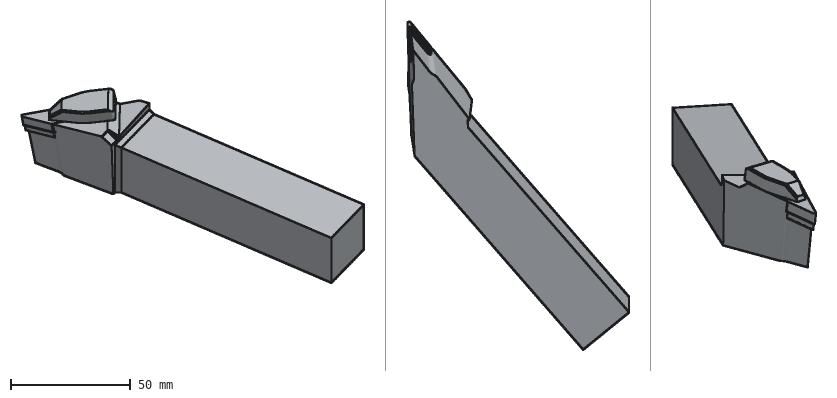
import cadquery as cq
import math

total_length = 150.0
shank_size = 25.0
tip_y = -6.5

insert_angle = 35.0
insert_circle = 9.5
insert_thickness = 4.8
nose_radius = 0.8
insert_heading = 20.7
insert_tilt = 9.2
half_angle = math.radians(insert_angle / 2)
insert_edge = insert_circle / math.sin(2 * half_angle)

shim_thickness = 3.0
shim_inset = 0.5

head_end_x = 43.5
head_depth = 60.0
relief_depth = 1.0
relief_crest_radius = 6.5 / 2
relief_root_radius = 5.0
relief_middle = 16.8

collar_end_x = 45.8
collar_flare = 1.5

slope_start = 38.2
slope_length = 4.4
shelf_depth = 3.6

corner_slope_x = 39.0
corner_slope_z = 31.0
corner_slope_drop = 3.0
corner_side_rise = 17.0
corner_side_length = 3.8

clamp_heading = 32.0
clamp_offset = -8.0
clamp_gap = 0.3
clamp_floor_z = 24.0
clamp_edge = 0.6
clamp_corner_radius = 1.0
clamp_nose = 8.2
clamp_nose_half_width = 2.2
clamp_knee = 23.0
clamp_half_width = 7.0
clamp_knee_radius = 15.0
clamp_tail = 36.6
clamp_nose_base_z = 27.3
clamp_nose_draft = 0.6
clamp_nose_z = 29.7
clamp_brow = 13.6
clamp_brow_z = 34.4
clamp_crest = 33.0
clamp_top_z = 37.6
clamp_shoulder = 35.2
clamp_shoulder_z = 36.5
clamp_tail_z = 29.5
post_diameter = 6.5
post_position = 29.2


def insert_plane():
    """Top plane of the insert: origin at its sharp corner, local x along its centre line."""
    heading = math.radians(insert_heading)
    tilt = math.radians(insert_tilt)
    x_dir = cq.Vector(math.cos(heading) * math.cos(tilt), math.sin(heading) * math.cos(tilt), math.sin(tilt))
    y_dir = cq.Vector(-math.sin(heading), math.cos(heading), 0)
    nose_centre = x_dir * (nose_radius / math.sin(half_angle))
    origin_x = nose_radius * math.hypot(x_dir.x, y_dir.x) - nose_centre.x
    origin_y = tip_y + nose_radius * math.hypot(x_dir.y, y_dir.y) - nose_centre.y
    return cq.Plane(origin=(origin_x, origin_y, shank_size), xDir=x_dir, normal=x_dir.cross(y_dir))


deck = insert_plane()


def wall_point(distance, inset, side):
    """Point at a distance along a wedge side (+1 or -1), moved inward by inset."""
    along = distance * math.cos(half_angle) + inset * math.sin(half_angle)
    across = distance * math.sin(half_angle) - inset * math.cos(half_angle)
    return (along, side * across)


def make_rhombus(inset, thickness, depth):
    """Plate shaped like the insert, with a rounded nose; its top lies at the given depth below the deck."""
    centre = insert_edge * math.cos(half_angle)
    half_length = centre - inset / math.sin(half_angle)
    half_width = half_length * math.tan(half_angle)
    plate = (
        cq.Workplane(deck)
        .workplane(offset=-depth)
        .center(centre, 0)
        .polyline([(-half_length, 0), (0, -half_width), (half_length, 0), (0, half_width)])
        .close()
        .extrude(-thickness)
    )
    upright = cq.selectors.ParallelDirSelector(deck.zDir)
    nose = cq.selectors.DirectionMinMaxSelector(deck.xDir, directionMax=False)
    return plate.edges(upright).edges(nose).fillet(nose_radius - inset)


def side_relief(side):
    """Wall points from the main wall toward the nose: a convex and a concave arc forming an S."""
    turn = math.acos(1 - relief_depth / (relief_crest_radius + relief_root_radius))
    crest_start = relief_middle + relief_crest_radius * math.sin(turn)
    root_end = relief_middle - relief_root_radius * math.sin(turn)
    half_run = math.sin(turn / 2)
    half_rise = 1 - math.cos(turn / 2)
    crest_middle = crest_start - relief_crest_radius * half_run
    root_middle = root_end + relief_root_radius * half_run
    return [
        wall_point(crest_start, 0, side),
        wall_point(crest_middle, relief_crest_radius * half_rise, side),
        wall_point(relief_middle, relief_crest_radius * (1 - math.cos(turn)), side),
        wall_point(root_middle, relief_depth - relief_root_radius * half_rise, side),
        wall_point(root_end, relief_depth, side),
    ]


def make_head():
    """Wedge head square to the deck, cut to the shank's bottom, back and end planes."""
    lower = side_relief(-1)
    upper = side_relief(1)
    nose = (relief_depth / math.sin(half_angle), 0)
    wedge = (
        cq.Workplane(deck)
        .moveTo(*wall_point(2 * head_end_x, 0, -1))
        .lineTo(*lower[0])
        .threePointArc(lower[1], lower[2])
        .threePointArc(lower[3], lower[4])
        .lineTo(*nose)
        .lineTo(*upper[4])
        .threePointArc(upper[3], upper[2])
        .threePointArc(upper[1], upper[0])
        .lineTo(*wall_point(2 * head_end_x, 0, 1))
        .close()
        .extrude(-head_depth)
    )
    limits = cq.Workplane().box(head_end_x, 2 * shank_size, 2 * shank_size, centered=False)
    return wedge.intersect(limits.translate((0, -shank_size, 0)))


def make_shelf_cut():
    """Space above the shelf: a slope square to the clamp, then a plane parallel to the deck."""
    reach = 2 * head_end_x
    return (
        cq.Workplane(deck)
        .transformed(rotate=(0, 0, clamp_heading - insert_heading))
        .transformed(rotate=(90, 0, 0))
        .polyline([
            (slope_start, 0),
            (slope_start + slope_length, -shelf_depth),
            (reach, -shelf_depth),
            (reach, reach),
            (slope_start, reach),
        ])
        .close()
        .extrude(reach, both=True)
    )


def corner_wedge(side_rise, length):
    """Space above the corner slope, from Y = 0 toward +Y by length, rising in degrees."""
    rise = math.radians(side_rise)
    run = head_end_x - corner_slope_x
    section = cq.Plane(
        origin=(corner_slope_x, 0, corner_slope_z),
        xDir=(1, 0, 0),
        normal=(0, -math.cos(rise), -math.sin(rise)),
    )
    return (
        cq.Workplane(section)
        .polyline([(0, 0), (run, -corner_slope_drop), (run, shank_size), (0, shank_size)])
        .close()
        .extrude(-length)
    )


def make_shank():
    """Square bar with a flared collar that meets the head."""
    bar = cq.Workplane().box(total_length - collar_end_x, shank_size, shank_size, centered=False)
    bar = bar.translate((collar_end_x, 0, 0))
    run = collar_end_x - head_end_x
    flared = shank_size + collar_flare
    middle = shank_size / 2
    collar = (
        cq.Workplane("YZ", origin=(collar_end_x, 0, 0))
        .center(middle, middle)
        .rect(shank_size, shank_size)
        .workplane(offset=-run)
        .center(-collar_flare / 2, collar_flare / 2)
        .rect(flared, flared)
        .loft(ruled=True)
    )
    return bar.union(collar)


def make_clamp_profile():
    """Side profile of the clamp, wide enough to cover its outline."""
    return (
        cq.Workplane("XZ")
        .polyline([
            (clamp_nose, clamp_floor_z),
            (clamp_nose, clamp_nose_base_z),
            (clamp_nose + clamp_nose_draft, clamp_nose_z),
            (clamp_brow, clamp_brow_z),
            (clamp_crest, clamp_top_z),
            (clamp_shoulder, clamp_shoulder_z),
            (clamp_tail, clamp_tail_z),
            (clamp_tail, clamp_floor_z),
        ])
        .close()
        .extrude(2 * clamp_half_width, both=True)
    )


def side_edges(start, end, floor_z):
    """Selector for the clamp's edges on both sides, centred between start and end and above floor_z."""
    inner = clamp_nose_half_width / 2
    outer = 2 * clamp_half_width
    right = cq.selectors.BoxSelector((start, -outer, floor_z), (end, -inner, 2 * clamp_top_z))
    left = cq.selectors.BoxSelector((start, inner, floor_z), (end, outer, 2 * clamp_top_z))
    return right + left


def make_clamp_outline():
    """Prism over the clamp's outline: a tapered nose that bends into parallel sides."""
    outline = (
        cq.Workplane()
        .polyline([
            (clamp_nose, -clamp_nose_half_width),
            (clamp_knee, -clamp_half_width),
            (clamp_tail, -clamp_half_width),
            (clamp_tail, clamp_half_width),
            (clamp_knee, clamp_half_width),
            (clamp_nose, clamp_nose_half_width),
        ])
        .close()
        .extrude(clamp_top_z)
    )
    knees = outline.edges("|Z").edges(side_edges(clamp_brow, clamp_crest, 0))
    return knees.fillet(clamp_knee_radius)


def make_clamp():
    """Hook clamp held just above the deck by a round post."""
    upper_z = (clamp_nose_z + clamp_brow_z) / 2 - clamp_edge
    clamp = make_clamp_profile().intersect(make_clamp_outline())
    clamp = clamp.edges(side_edges(clamp_shoulder, clamp_tail, upper_z)).fillet(clamp_corner_radius)
    clamp = clamp.edges(side_edges(clamp_nose, clamp_crest, upper_z)).chamfer(clamp_edge)
    post = (
        cq.Workplane(origin=(post_position, 0, clamp_floor_z))
        .circle(post_diameter / 2)
        .extrude(clamp_brow_z - clamp_floor_z)
    )
    post = swing_clamp(post)
    cover = 4 * head_end_x
    below_gap = cq.Workplane(deck).workplane(offset=clamp_gap).rect(cover, cover).extrude(-head_depth)
    return swing_clamp(clamp).cut(below_gap).union(post)


def swing_clamp(shape):
    """Move a shape from the clamp's own axis to its place on the head."""
    return shape.translate((0, clamp_offset, 0)).rotate((0, 0, 0), (0, 0, 1), clamp_heading)


def make_holder(insert_body):
    """Shank, head, shim and clamp as one body, with the pocket for the insert."""
    head = make_head().cut(make_shelf_cut())
    head = head.cut(corner_wedge(0, -shank_size)).cut(corner_wedge(corner_side_rise, corner_side_length))
    shim = make_rhombus(shim_inset, shim_thickness, insert_thickness)
    return head.union(shim).union(make_shank()).union(make_clamp()).cut(insert_body)


insert = make_rhombus(0, insert_thickness, 0)
holder = make_holder(insert)

result = cq.Compound.makeCompound([holder.val(), insert.val()])